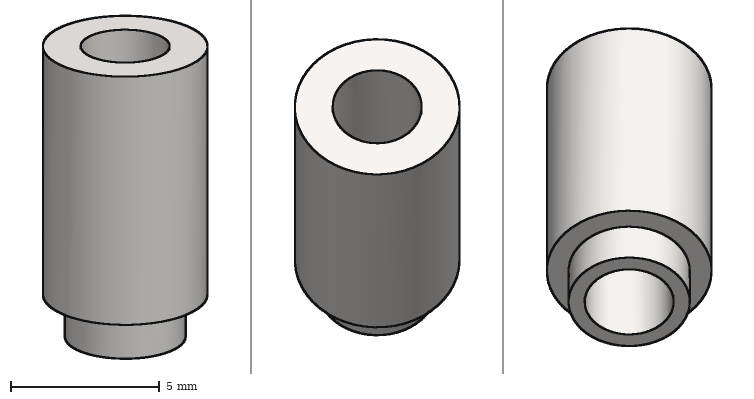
import cadquery as cq

total_length = 10.53
body_diameter = 5.56
spigot_diameter = 4.09
spigot_length = 1.53
bore_diameter = 3.0

body_length = total_length - spigot_length

spigot = cq.Workplane("XY").circle(spigot_diameter / 2).extrude(spigot_length)

sleeve = spigot.faces(">Z").workplane().circle(body_diameter / 2).extrude(body_length)

result = sleeve.faces(">Z").workplane().hole(bore_diameter)